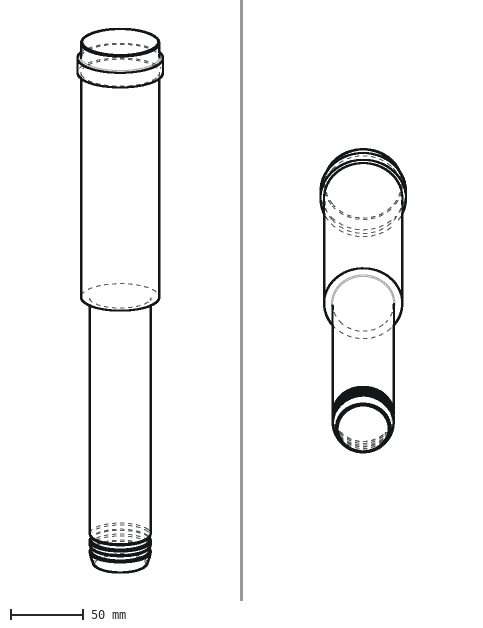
import cadquery as cq

total_length = 383.0
flange_top = 371.0
flange_thickness = 10.7
sleeve_bottom = 195.7
nose_height = 9.0

flange_radius = 29.5
sleeve_diameter = 54.0
sleeve_radius = sleeve_diameter / 2
shank_radius = 21.0
tip_radius = 18.5
nose_bulge = 0.5

root_fillet = 0.8
top_chamfer = 0.8
tip_chamfer = 0.8

groove_count = 2
groove_mouth = 5.5
groove_floor = 3.0
groove_depth = 0.8
groove_pitch = 8.0


def cylinder(radius, bottom, top):
    """Cylinder about Z between two heights."""
    return cq.Workplane("XY").workplane(offset=bottom).circle(radius).extrude(top - bottom)


def revolve_about_z(outline):
    """Full turn of a closed X-Z outline about the Z axis."""
    return outline.revolve(360, (0, 0, 0), (0, 1, 0))


def nose():
    """Bulging tapered tip that widens up to the shank."""
    middle = ((tip_radius + shank_radius) / 2 + nose_bulge, nose_height / 2)
    outline = (
        cq.Workplane("XZ")
        .lineTo(tip_radius, 0)
        .threePointArc(middle, (shank_radius, nose_height))
        .lineTo(0, nose_height)
        .close()
    )
    return revolve_about_z(outline)


def root_ring(radius, height, direction):
    """Concave fillet around a shaft, spreading onto the shoulder at the given height.

    Direction is +1 for a shaft rising from the shoulder and -1 for one hanging below it.
    """
    arc_offset = root_fillet * (1 - 0.5**0.5)
    outline = (
        cq.Workplane("XZ")
        .moveTo(0, height)
        .lineTo(radius + root_fillet, height)
        .threePointArc(
            (radius + arc_offset, height + direction * arc_offset),
            (radius, height + direction * root_fillet),
        )
        .lineTo(0, height + direction * root_fillet)
        .close()
    )
    return revolve_about_z(outline)


def groove(bottom):
    """Ring that cuts one groove, wider at its mouth than at its floor."""
    floor_radius = shank_radius - groove_depth
    side_height = (groove_mouth - groove_floor) / 2
    outline = (
        cq.Workplane("XZ")
        .moveTo(shank_radius, bottom)
        .lineTo(floor_radius, bottom + side_height)
        .lineTo(floor_radius, bottom + side_height + groove_floor)
        .lineTo(shank_radius, bottom + groove_mouth)
        .close()
    )
    return revolve_about_z(outline)


shank = cylinder(shank_radius, nose_height, sleeve_bottom)
sleeve = cylinder(sleeve_radius, sleeve_bottom, total_length).faces(">Z").chamfer(top_chamfer)
flange = cylinder(flange_radius, flange_top - flange_thickness, flange_top)

result = nose().faces("<Z").chamfer(tip_chamfer).union(shank).union(sleeve).union(flange)
result = result.union(root_ring(sleeve_radius, flange_top, 1))
result = result.union(root_ring(shank_radius, sleeve_bottom, -1))

for index in range(groove_count):
    result = result.cut(groove(nose_height + index * groove_pitch))